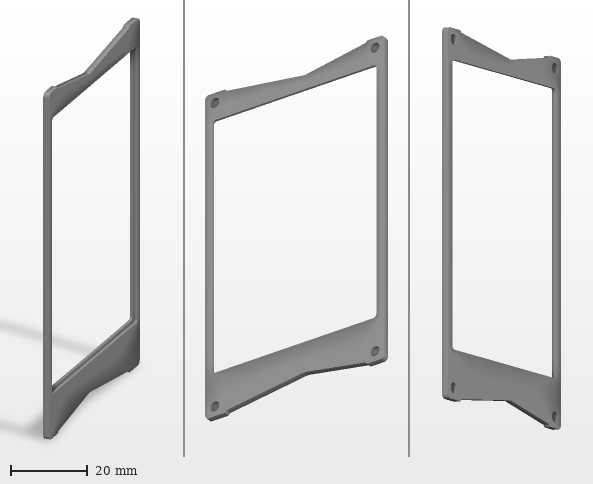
import cadquery as cq
import math

footprint = 40.93
height = 98.11
thickness = 1.75
turn = -45.0
length = footprint * math.sqrt(2) - thickness

half_length = length / 2
half_height = height / 2
rear = thickness / 2
front = -thickness / 2
corner_radius = 1.2

shoulder_left = 6.25
shoulder_right = 5.35
notch_tip = 3.1
notch_depth = 4.0
step_depth = 0.6
step_run = 0.5

window_side_left = 2.3
window_side_right = 2.5
window_margin_top = 8.3
window_margin_bottom = 13.2
window_radius = 1.0
lip_thickness = 0.75
rebate_margin = 0.8

hole_diameter = 2.9
hole_inset = 3.0
hole_depth = 1.0


def make_plate():
    """Plain plate lying in XZ with rounded corners."""
    plate = cq.Workplane("XZ", origin=(0, rear, 0)).rect(length, height).extrude(thickness)
    return plate.edges("|Y").fillet(corner_radius)


def make_notch(side):
    """Cutter for the notch in the upper (side = 1) or lower (side = -1) edge."""
    edge = side * half_height
    step = side * (half_height - step_depth)
    tip = side * (half_height - notch_depth)
    left = -half_length + shoulder_left
    right = half_length - shoulder_right
    return (
        cq.Workplane("XZ", origin=(0, rear, 0))
        .moveTo(left, edge)
        .lineTo(left + step_run, step)
        .lineTo(notch_tip, tip)
        .lineTo(right - step_run, step)
        .lineTo(right, edge)
        .close()
        .extrude(thickness)
    )


def make_opening(margin, depth):
    """Rounded cutter, larger than the window by margin all round, sunk from the rear face."""
    left = -half_length + window_side_left - margin
    right = half_length - window_side_right + margin
    bottom = -half_height + window_margin_bottom - margin
    top = half_height - window_margin_top + margin
    return (
        cq.Workplane("XZ", origin=(0, rear, 0))
        .center((left + right) / 2, (bottom + top) / 2)
        .rect(right - left, top - bottom)
        .extrude(depth)
        .edges("|Y")
        .fillet(window_radius)
    )


def make_holes():
    """Cutters for the four blind holes sunk from the front face."""
    return (
        cq.Workplane("XZ", origin=(0, front + hole_depth, 0))
        .rect(length - 2 * hole_inset, height - 2 * hole_inset, forConstruction=True)
        .vertices()
        .circle(hole_diameter / 2)
        .extrude(hole_depth)
    )


frame = make_plate()
for side in (1, -1):
    frame = frame.cut(make_notch(side))
frame = frame.cut(make_opening(0, thickness))
frame = frame.cut(make_opening(rebate_margin, thickness - lip_thickness))
frame = frame.cut(make_holes())

result = frame.rotate((0, 0, 0), (0, 0, 1), turn)